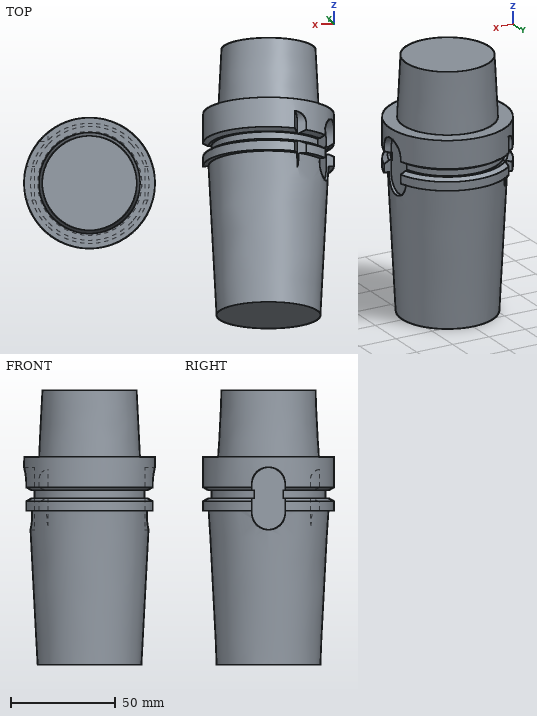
import cadquery as cq
import math


shank_length = 32.0
shank_base_radius = 24.3
shank_tip_radius = 22.7

flange_radius = 31.5
flange_thickness = 26.0
groove_center_depth = 18.0
groove_width = 3.75
groove_radius = 27.4
groove_lip_radius = 28.9
groove_chamfer_angle = 30.0

body_length = 100.0
body_end_radius = 25.0
body_taper_angle = 3.0

slot_width = 16.0
slot_floor_distance = 26.5
slot_top_depth = 5.0
slot_bottom_depth = 35.0

notch_floor_distance = 20.0
notch_wall_y = 20.0
notch_width = 10.0
notch_top_depth = 5.9
notch_bottom_depth = 36.0

clearance = 5.0


def make_revolved_body():
    """Shank, grooved flange and tapered body as one turned profile."""
    chamfer_height = (flange_radius - groove_lip_radius) * math.tan(math.radians(groove_chamfer_angle))
    groove_top = -groove_center_depth + groove_width / 2
    groove_bottom = -groove_center_depth - groove_width / 2
    body_taper_length = body_length - flange_thickness
    body_top_radius = body_end_radius + body_taper_length * math.tan(math.radians(body_taper_angle))
    profile = [
        (0, shank_length),
        (shank_tip_radius, shank_length),
        (shank_base_radius, 0),
        (flange_radius, 0),
        (flange_radius, groove_top + chamfer_height),
        (groove_lip_radius, groove_top),
        (groove_radius, groove_top),
        (groove_radius, groove_bottom),
        (groove_lip_radius, groove_bottom),
        (flange_radius, groove_bottom - chamfer_height),
        (flange_radius, -flange_thickness),
        (body_top_radius, -flange_thickness),
        (body_end_radius, -body_length),
        (0, -body_length),
    ]
    return cq.Workplane("XZ").polyline(profile).close().revolve(360, (0, 0, 0), (0, 1, 0))


def make_slot_cutter(side, floor_distance, center_y, width, top_depth, bottom_depth):
    """Upright round-ended slot with a floor normal to X; side is +1 for +X and -1 for -X."""
    center_z = -(top_depth + bottom_depth) / 2
    cut_depth = flange_radius + clearance - floor_distance
    return (
        cq.Workplane("YZ", origin=(side * floor_distance, center_y, center_z))
        .slot2D(bottom_depth - top_depth, width, 90)
        .extrude(side * cut_depth)
    )


def make_driving_slot(side):
    """Driving slot centered on the X axis."""
    return make_slot_cutter(side, slot_floor_distance, 0, slot_width, slot_top_depth, slot_bottom_depth)


def make_side_notch():
    """Off-center notch on the -X side; its inner wall is parallel to X and it runs out in the tapered body."""
    center_y = notch_wall_y + notch_width / 2
    return make_slot_cutter(
        -1, notch_floor_distance, center_y, notch_width, notch_top_depth, notch_bottom_depth
    )


result = make_revolved_body()
for slot_side in (-1, 1):
    result = result.cut(make_driving_slot(slot_side))
result = result.cut(make_side_notch())